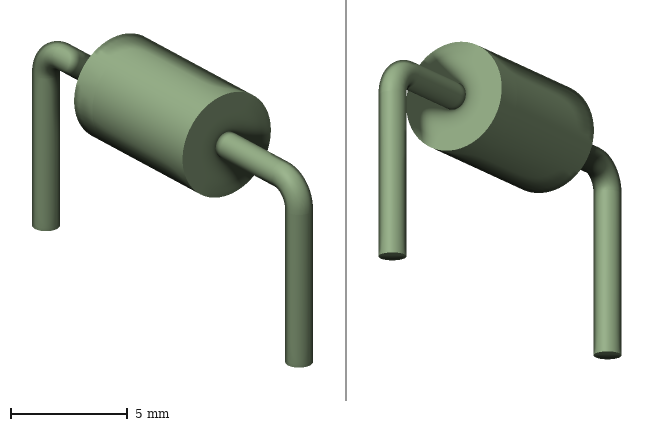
import cadquery as cq

overall_length = 18.7
overall_height = 10.8
body_diameter = 4.8
body_length = 7.5
band_length = 1.25
lead_diameter = 1.2
bend_radius = lead_diameter

body_end = body_length / 2
band_seam = -body_end + band_length
lead_offset = (overall_length - lead_diameter) / 2
lead_bottom = body_diameter / 2 - overall_height


def make_cylinder(start_x, end_x):
    """Solid length of the body between two X positions."""
    section = cq.Workplane("YZ").workplane(offset=start_x).circle(body_diameter / 2)
    return section.extrude(end_x - start_x)


def make_lead(side):
    """Round wire from a body end face, bent down; side is -1 or +1 along X."""
    bend_start = lead_offset - bend_radius
    horizontal = (
        cq.Workplane("YZ")
        .workplane(offset=side * body_end)
        .circle(lead_diameter / 2)
        .extrude(side * (bend_start - body_end))
    )
    bend_path = (
        cq.Workplane("XZ")
        .moveTo(side * bend_start, 0)
        .radiusArc((side * lead_offset, -bend_radius), side * bend_radius)
    )
    bend = (
        cq.Workplane("YZ")
        .workplane(offset=side * bend_start)
        .circle(lead_diameter / 2)
        .sweep(bend_path)
    )
    vertical = (
        cq.Workplane("XY")
        .workplane(offset=lead_bottom)
        .center(side * lead_offset, 0)
        .circle(lead_diameter / 2)
        .extrude(-bend_radius - lead_bottom)
    )
    return horizontal.union(bend).union(vertical)


band = make_cylinder(-body_end, band_seam)
housing = make_cylinder(band_seam, body_end)
leads = [make_lead(side) for side in (-1, 1)]

result = cq.Compound.makeCompound([housing.val(), band.val(), *[lead.val() for lead in leads]])